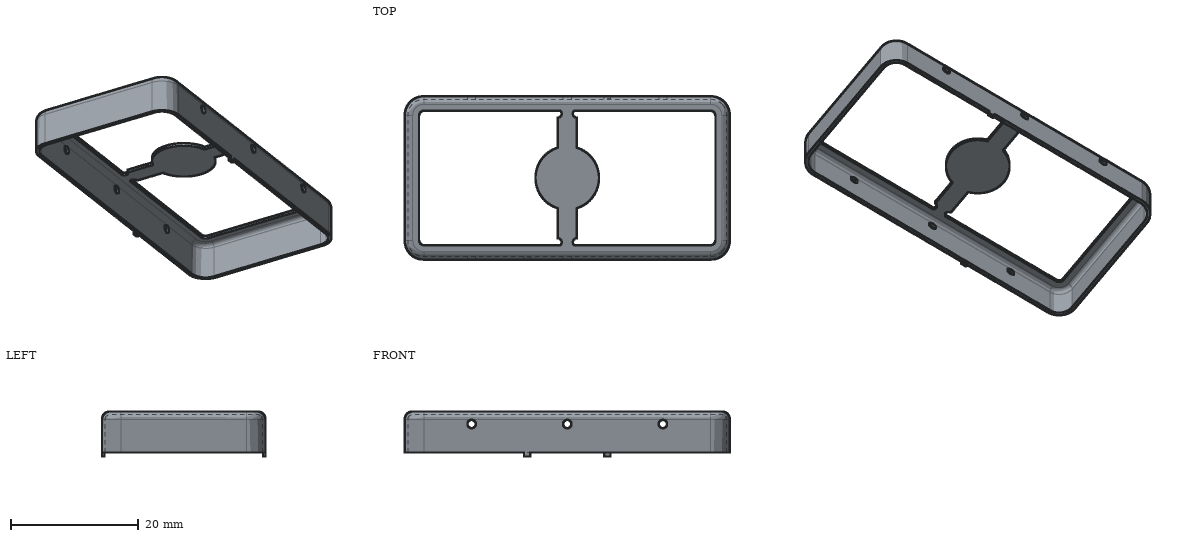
import cadquery as cq

length = 51.1
width = 25.7
body_height = 6.5
corner_radius = 3.0
top_edge_radius = 1.3

wall = 0.5
sheet = 0.5

rim_width = 2.3
window_length = length - 2 * rim_width
window_width = width - 2 * rim_width
window_corner_radius = 0.75

bridge_width = 3.0
pad_diameter = 10.0
notch_radius = 0.6
notch_inset = 0.45

hole_diameter = 1.3
hole_count = 3
hole_pitch = 15.0
hole_depth_below_top = 2.0

tab_length = 1.0
tab_thickness = 0.4
tab_height = 0.6
tab_spacing = 12.55


def rounded_block(size_x, size_y, height, radius):
    """Upright block standing on Z = 0 with rounded vertical edges."""
    block = cq.Workplane("XY").box(size_x, size_y, height, centered=(True, True, False))
    return block.edges("|Z").fillet(radius)


def make_shell():
    """Open-bottomed box with a top edge rounded inside and out."""
    outside = rounded_block(length, width, body_height, corner_radius)
    outside = outside.faces(">Z").edges().fillet(top_edge_radius)
    cavity = rounded_block(
        length - 2 * wall, width - 2 * wall, body_height - sheet, corner_radius - wall
    )
    cavity = cavity.faces(">Z").edges().fillet(top_edge_radius - wall)
    return outside.cut(cavity)


def make_window():
    """Block the size of the window, running the full height of the body."""
    return rounded_block(window_length, window_width, body_height, window_corner_radius)


def make_bridge():
    """Strip and pad at sheet level, necked by round notches at both ends."""
    plane = cq.Workplane("XY").workplane(offset=body_height - sheet)
    strip = plane.rect(bridge_width, window_width + rim_width).extrude(sheet)
    pad = plane.circle(pad_diameter / 2).extrude(sheet)
    notch_span = window_width - 2 * notch_inset
    notches = plane.rect(bridge_width, notch_span, forConstruction=True).vertices()
    notches = notches.circle(notch_radius).extrude(sheet)
    strip = strip.intersect(make_window())
    return strip.union(pad).cut(notches)


def make_cross_holes():
    """Row of holes passing through both long walls."""
    plane = cq.Workplane("XZ", origin=(0, width / 2, body_height - hole_depth_below_top))
    return plane.rarray(hole_pitch, 0.5, hole_count, 1).circle(hole_diameter / 2).extrude(width)


def make_tabs():
    """Two diagonally opposite tabs flush with the outer faces of the long walls."""
    tab_x = tab_spacing / 2
    tab_y = (width - tab_thickness) / 2
    plane = cq.Workplane("XY").workplane(offset=-tab_height)
    tabs = plane.pushPoints([(-tab_x, -tab_y), (tab_x, tab_y)])
    return tabs.rect(tab_length, tab_thickness).extrude(tab_height)


result = make_shell().cut(make_window()).union(make_bridge())
result = result.cut(make_cross_holes()).union(make_tabs())